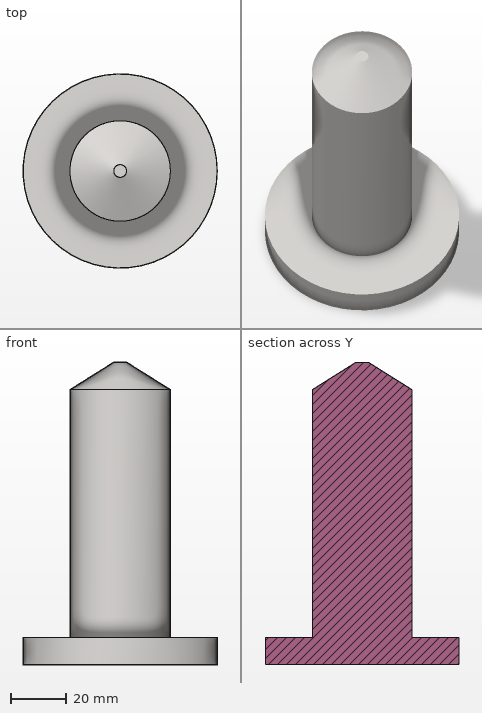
import cadquery as cq

total_height = 110.0
flange_diameter = 70.6
flange_thickness = 10.0
shaft_diameter = 36.5
tip_height = 10.0
tip_flat_diameter = 4.6

tip_base_level = total_height - tip_height
flange_radius = flange_diameter / 2
shaft_radius = shaft_diameter / 2
tip_flat_radius = tip_flat_diameter / 2

half_section = (
    cq.Workplane("XZ")
    .moveTo(0, 0)
    .lineTo(flange_radius, 0)
    .lineTo(flange_radius, flange_thickness)
    .lineTo(shaft_radius, flange_thickness)
    .lineTo(shaft_radius, tip_base_level)
    .lineTo(tip_flat_radius, total_height)
    .lineTo(0, total_height)
    .close()
)

result = half_section.revolve(360, (0, 0, 0), (0, 1, 0))